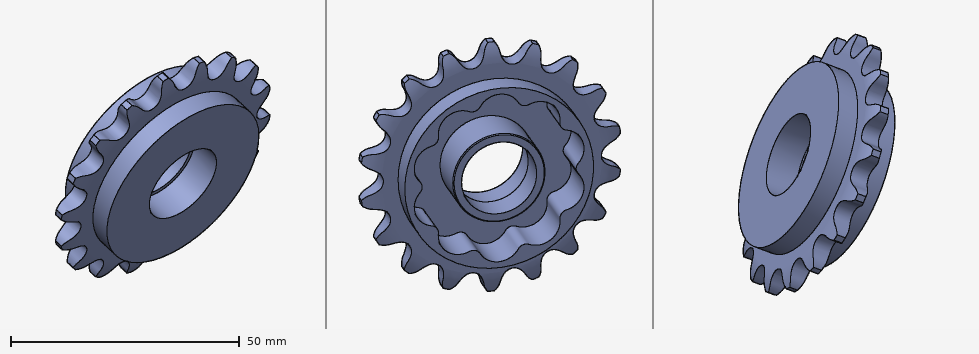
import cadquery as cq
import math


tooth_count = 18
outer_radius = 29.85
half_step = 180 / tooth_count
chain_pitch = 2 * outer_radius / (0.6 + 1 / math.tan(math.radians(half_step)))
roller_diameter = 5.1
seating_clearance = 0.035

rim_face_radius = 25.1
rim_width = 4.25
tip_width = 2.05
rim_start = -1.9

hub_radius = 21.5
hub_width = 14.35
hub_start = -hub_width / 2

lobe_count = 10
lobe_radius = 5.0
lobe_circle_radius = 15.05
cusp_radius = 1.9
pocket_depth = 10.15

boss_radius = 10.5
boss_chamfer = 0.25
bore_radius = 8.55
counterbore_radius = 9.5
counterbore_depth = 7.65


def polar(radius, angle):
    """Point at the given radius and angle in degrees."""
    return (radius * math.cos(math.radians(angle)), radius * math.sin(math.radians(angle)))


def offset(point, radius, angle):
    """Point at a polar offset from another point."""
    step = polar(radius, angle)
    return (point[0] + step[0], point[1] + step[1])


def rotated(point, angle):
    """Point turned about the origin by an angle in degrees."""
    return polar(math.hypot(*point), math.degrees(math.atan2(point[1], point[0])) + angle)


def mirrored(point):
    """Point reflected across the vertical axis."""
    return (-point[0], point[1])


def disc(radius, start, length):
    """Round disc on the X axis."""
    return cq.Workplane("YZ", origin=(start, 0, 0)).circle(radius).extrude(length)


def tooth_outline():
    """Standard roller-chain tooth form: seating, working and topping arcs joined by short flats."""
    seating_radius = roller_diameter / 2 + seating_clearance
    seating_angle = 35 + 60 / tooth_count
    working_sweep = 18 - 56 / tooth_count
    flat_angle = seating_angle - working_sweep
    working_reach = 0.8 * roller_diameter
    working_radius = seating_radius + working_reach
    topping_reach = 1.4 * roller_diameter
    topping_radius = (
        working_reach * math.cos(math.radians(working_sweep))
        + topping_reach * math.cos(math.radians(flat_angle - half_step))
        - working_radius
    )

    seat = (0, chain_pitch / 2 / math.sin(math.radians(half_step)))
    working_centre = offset(seat, working_reach, seating_angle)
    topping_centre = offset(seat, topping_reach, 180 + half_step)
    seat_bottom = offset(seat, seating_radius, -90)
    seat_end = offset(seat, seating_radius, 180 + seating_angle)
    working_mid = offset(working_centre, working_radius, 180 + seating_angle - working_sweep / 2)
    working_end = offset(working_centre, working_radius, 180 + flat_angle)
    topping_start = offset(topping_centre, topping_radius, flat_angle)

    half_pitch = chain_pitch / 2
    tip_height = math.sqrt(topping_radius**2 - (topping_reach - half_pitch) ** 2)
    tip_radius = half_pitch / math.tan(math.radians(half_step)) + tip_height
    tip = polar(tip_radius, 90 + half_step)
    tip_angle = math.degrees(math.atan2(tip[1] - topping_centre[1], tip[0] - topping_centre[0]))
    topping_mid = offset(topping_centre, topping_radius, (flat_angle + tip_angle) / 2)

    outline = cq.Workplane("YZ", origin=(rim_start, 0, 0)).moveTo(*rotated(tip, half_step))
    for gap in range(tooth_count):
        turn = (1 - 2 * gap) * half_step

        def place(point):
            return rotated(point, turn)

        outline = (
            outline.threePointArc(place(topping_mid), place(topping_start))
            .lineTo(*place(working_end))
            .threePointArc(place(working_mid), place(seat_end))
            .threePointArc(place(seat_bottom), place(mirrored(seat_end)))
            .threePointArc(place(mirrored(working_mid)), place(mirrored(working_end)))
            .lineTo(*place(mirrored(topping_start)))
            .threePointArc(place(mirrored(topping_mid)), place(mirrored(tip)))
        )
    return outline.close()


def rim_blank():
    """Disc whose sides curve inward from the flat face to the narrow tooth tip."""
    rim_end = rim_start + rim_width
    inset = (rim_width - tip_width) / 2
    rise = outer_radius - rim_face_radius
    arc_radius = (rise**2 + inset**2) / (2 * inset)
    half_sweep = math.asin(rise / arc_radius) / 2
    mid_inset = arc_radius * (1 - math.cos(half_sweep))
    mid_radius = rim_face_radius + arc_radius * math.sin(half_sweep)
    return (
        cq.Workplane("XY")
        .moveTo(rim_start, 0)
        .lineTo(rim_start, rim_face_radius)
        .threePointArc((rim_start + mid_inset, mid_radius), (rim_start + inset, outer_radius))
        .lineTo(rim_end - inset, outer_radius)
        .threePointArc((rim_end - mid_inset, mid_radius), (rim_end, rim_face_radius))
        .lineTo(rim_end, 0)
        .close()
        .revolve(360, (0, 0, 0), (1, 0, 0))
    )


def lobed_pocket():
    """Ring of round lobes joined by tangent rounded cusps."""
    step = 360 / lobe_count
    half_angle = math.radians(step / 2)
    centre_distance = lobe_radius + cusp_radius
    half_spacing = lobe_circle_radius * math.sin(half_angle)
    cusp_circle_radius = lobe_circle_radius * math.cos(half_angle) + math.sqrt(
        centre_distance**2 - half_spacing**2
    )
    lobe_centre = (lobe_circle_radius, 0)
    cusp_centre = polar(cusp_circle_radius, step / 2)
    lobe_share = lobe_radius / centre_distance
    joint = tuple(a + (b - a) * lobe_share for a, b in zip(lobe_centre, cusp_centre))
    previous_joint = (joint[0], -joint[1])
    lobe_peak = (lobe_circle_radius + lobe_radius, 0)
    cusp_peak = polar(cusp_circle_radius - cusp_radius, step / 2)

    outline = cq.Workplane("YZ", origin=(hub_start, 0, 0)).moveTo(*rotated(previous_joint, 90))
    for lobe in range(lobe_count):
        angle = 90 + lobe * step
        outline = outline.threePointArc(rotated(lobe_peak, angle), rotated(joint, angle))
        outline = outline.threePointArc(rotated(cusp_peak, angle), rotated(previous_joint, angle + step))
    return outline.close().extrude(pocket_depth)


rim = tooth_outline().extrude(rim_width).intersect(rim_blank())
hub = disc(hub_radius, hub_start, hub_width)
boss = disc(boss_radius, hub_start, hub_width).faces("<X").chamfer(boss_chamfer)
bore = disc(bore_radius, hub_start, hub_width)
counterbore = disc(counterbore_radius, -hub_start - counterbore_depth, counterbore_depth)

result = rim.union(hub).cut(lobed_pocket()).union(boss).cut(bore).cut(counterbore)